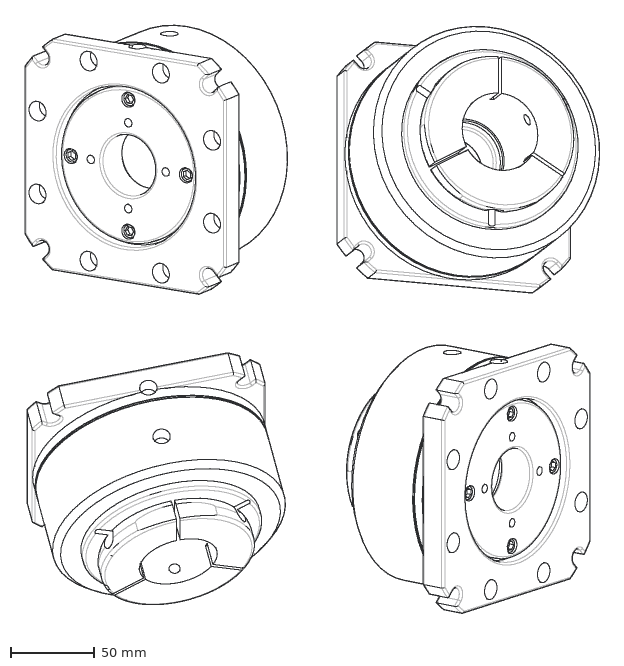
import cadquery as cq
import math


LENGTH = 94.5
EDGE_ROUND = 1.5

FLANGE_SIZE = 144.0
FLANGE_THICKNESS = 16.3
FLANGE_CORNER_RADIUS = 89.0
NOTCH_CENTRE_RADIUS = 84.1
NOTCH_RADIUS = 4.8
FLANGE_HOLE_CIRCLE_RADIUS = 67.5
FLANGE_HOLE_RADIUS = 6.0
FLANGE_HOLE_DEPTH = 11.5
FLANGE_HOLE_COUNT = 8

BODY_RADIUS = FLANGE_SIZE / 2
BODY_END = 73.5
BODY_CHAMFER = 4.0
GROOVE_CENTRE = 23.0
GROOVE_WIDTH = 1.2
GROOVE_DEPTH = 0.5
PILOT_RADIUS = 50.0
PILOT_DEPTH = 8.6
SIDE_HOLE_RADIUS = 5.2
SIDE_HOLE_DEPTH = 10.1
SIDE_HOLE_POSITIONS = (14.1, 49.7)
DRILL_POINT_ANGLE = 118.0

HUB_RADIUS = 48.4
HUB_FACE = 3.9
BORE_RADIUS = 19.0
BORE_END = 27.6
SHAFT_RECESS_RADIUS = 23.0
SHAFT_RECESS_END = 31.7
CLAMP_BORE_RADIUS = 24.0
DISC_RADIUS = 55.5
DISC_END = 79.2
DISC_ROUND = 1.7

FACE_HOLE_COUNT = 4
SCREW_CIRCLE_RADIUS = 41.2
SCREW_RECESS_RADIUS = 4.6
SCREW_HEAD_RADIUS = 4.0
SCREW_HEAD_DEPTH = 1.3
SCREW_GAP_DEPTH = 4.3
SOCKET_ACROSS_FLATS = 5.2
SOCKET_DEPTH = 2.9
DOWEL_CIRCLE_RADIUS = 26.8
DOWEL_RADIUS = 2.6
DOWEL_DEPTH = 8.6

COLLAR_RADIUS = 47.5
COLLAR_ROUND = 2.0
COLLAR_TAPER_START = 86.4
COLLAR_TAPER_RADIUS = 11.5
LOBE_RADIUS = 50.3
LOBE_HEIGHT = 47.1
SLOT_WIDTH = 2.2
SLOT_ANGLES = (90, 210, 330)
CLAMP_HOLE_Y = 84.2
CLAMP_HOLE_RADIUS = 3.3
CLAMP_COUNTERBORE_RADIUS = 5.5
CLAMP_SEAT_RADIUS = 38.9


def rod(radius, start, end, x=0.0, z=0.0):
    """Cylinder parallel to Y between two Y positions."""
    base = cq.Vector(x, start, z)
    return cq.Workplane(cq.Solid.makeCylinder(radius, end - start, base, cq.Vector(0, 1, 0)))


def polar(radius, angle):
    """X and Z of a point on a circle about the Y axis."""
    return radius * math.cos(math.radians(angle)), radius * math.sin(math.radians(angle))


def around_axis(shape, angle):
    """Turn a shape about Y, from +X towards +Z."""
    return shape.rotate((0, 0, 0), (0, 1, 0), -angle)


def corner_notch():
    """Slot that runs out along +X from a round inner end."""
    run_out = FLANGE_SIZE
    slot = cq.Workplane("XY").box(
        run_out, FLANGE_THICKNESS, 2 * NOTCH_RADIUS, centered=(False, False, True)
    ).translate((NOTCH_CENTRE_RADIUS, 0, 0))
    return slot.union(rod(NOTCH_RADIUS, 0, FLANGE_THICKNESS, NOTCH_CENTRE_RADIUS))


def make_flange():
    flange = cq.Workplane("XY").box(
        FLANGE_SIZE, FLANGE_THICKNESS, FLANGE_SIZE, centered=(True, False, True)
    )
    flange = flange.intersect(rod(FLANGE_CORNER_RADIUS, 0, FLANGE_THICKNESS))
    for angle in (45, 135, 225, 315):
        flange = flange.cut(around_axis(corner_notch(), angle))
    flange = flange.faces("<Y or >Y").edges().fillet(EDGE_ROUND)
    for i in range(FLANGE_HOLE_COUNT):
        x, z = polar(FLANGE_HOLE_CIRCLE_RADIUS, (i + 0.5) * 360 / FLANGE_HOLE_COUNT)
        flange = flange.cut(rod(FLANGE_HOLE_RADIUS, 0, FLANGE_HOLE_DEPTH, x, z))
    return flange


def make_body():
    body = rod(BODY_RADIUS, FLANGE_THICKNESS, BODY_END).faces(">Y").chamfer(BODY_CHAMFER)
    groove_start = GROOVE_CENTRE - GROOVE_WIDTH / 2
    groove_end = GROOVE_CENTRE + GROOVE_WIDTH / 2
    groove = rod(BODY_RADIUS, groove_start, groove_end)
    return body.cut(groove.cut(rod(BODY_RADIUS - GROOVE_DEPTH, groove_start, groove_end)))


def side_hole(y):
    """Drilled hole running down from the +Z side, with a pointed bottom."""
    point = SIDE_HOLE_RADIUS / math.tan(math.radians(DRILL_POINT_ANGLE / 2))
    floor = BODY_RADIUS - SIDE_HOLE_DEPTH
    profile = cq.Workplane("XZ").polyline([
        (0, BODY_RADIUS),
        (SIDE_HOLE_RADIUS, BODY_RADIUS),
        (SIDE_HOLE_RADIUS, floor),
        (0, floor - point),
    ]).close()
    return profile.revolve(360, (0, 0), (0, 1)).translate((0, y, 0))


def make_housing():
    """Flange and round body with a stepped bore that takes the hub."""
    housing = make_flange().union(make_body())
    housing = housing.cut(rod(PILOT_RADIUS, 0, PILOT_DEPTH))
    housing = housing.faces("<Y").edges(
        cq.selectors.BoxSelector(
            (-PILOT_RADIUS - 0.1, -0.1, -PILOT_RADIUS - 0.1),
            (PILOT_RADIUS + 0.1, 0.1, PILOT_RADIUS + 0.1), boundingbox=True)
    ).fillet(EDGE_ROUND)
    housing = housing.cut(rod(HUB_RADIUS, 0, BODY_END))
    for y in SIDE_HOLE_POSITIONS:
        housing = housing.cut(side_hole(y))
    return housing


def make_collar():
    taper_length = COLLAR_TAPER_START - DISC_END
    taper_angle = math.asin(taper_length / COLLAR_TAPER_RADIUS)

    def taper_point(angle):
        drop = COLLAR_TAPER_RADIUS * (1 - math.cos(angle))
        return COLLAR_RADIUS - drop, COLLAR_TAPER_START - COLLAR_TAPER_RADIUS * math.sin(angle)

    profile = (
        cq.Workplane("XY").moveTo(0, DISC_END).lineTo(*taper_point(taper_angle))
        .threePointArc(taper_point(taper_angle / 2), (COLLAR_RADIUS, COLLAR_TAPER_START))
        .lineTo(COLLAR_RADIUS, LENGTH).lineTo(0, LENGTH).close()
    )
    collar = profile.revolve(360, (0, 0), (0, 1)).faces(">Y").edges().fillet(COLLAR_ROUND)
    for angle in SLOT_ANGLES:
        x, z = polar(LOBE_HEIGHT - LOBE_RADIUS, angle)
        collar = collar.intersect(rod(LOBE_RADIUS, DISC_END, LENGTH, x, z))
    return collar


def collar_slot():
    """Radial slit along +X through the whole collar length."""
    return cq.Workplane("XY").box(
        2 * COLLAR_RADIUS, LENGTH - DISC_END, SLOT_WIDTH, centered=(False, False, True)
    ).translate((0, DISC_END, 0))


def clamp_hole():
    """Counterbored radial hole along +X."""
    hole = cq.Workplane("YZ").center(CLAMP_HOLE_Y, 0).circle(CLAMP_HOLE_RADIUS).extrude(COLLAR_RADIUS)
    counterbore = (
        cq.Workplane("YZ", origin=(CLAMP_SEAT_RADIUS, 0, 0)).center(CLAMP_HOLE_Y, 0)
        .circle(CLAMP_COUNTERBORE_RADIUS).extrude(COLLAR_RADIUS)
    )
    return hole.union(counterbore)


def screw_recess():
    """Ring gap and hexagon socket of a sunk screw head at +X."""
    head_face = HUB_FACE + SCREW_HEAD_DEPTH
    x = SCREW_CIRCLE_RADIUS
    recess = rod(SCREW_RECESS_RADIUS, HUB_FACE, HUB_FACE + SCREW_GAP_DEPTH, x)
    recess = recess.cut(rod(SCREW_HEAD_RADIUS, head_face, HUB_FACE + SCREW_GAP_DEPTH, x))
    socket = (
        cq.Workplane("XZ", origin=(x, head_face, 0))
        .polygon(6, SOCKET_ACROSS_FLATS, circumscribed=True).extrude(-SOCKET_DEPTH)
    )
    return recess.union(socket)


def make_hub():
    """Front plug, rear disc and clamp collar with a stepped bore."""
    plug = rod(HUB_RADIUS, HUB_FACE, BODY_END).faces("<Y").edges().fillet(EDGE_ROUND)
    disc = rod(DISC_RADIUS, BODY_END, DISC_END).faces(">Y").edges().fillet(DISC_ROUND)
    hub = plug.union(disc).union(make_collar())

    bore = rod(BORE_RADIUS, HUB_FACE, BORE_END)
    hub = hub.cut(bore).cut(rod(SHAFT_RECESS_RADIUS, BORE_END, SHAFT_RECESS_END))
    hub = hub.cut(rod(CLAMP_BORE_RADIUS, SHAFT_RECESS_END, LENGTH))
    hub = hub.edges(cq.selectors.BoxSelector(
        (-BORE_RADIUS - 0.1, HUB_FACE - 0.1, -BORE_RADIUS - 0.1),
        (BORE_RADIUS + 0.1, BORE_END + 0.1, BORE_RADIUS + 0.1), boundingbox=True)
    ).edges("%CIRCLE").fillet(EDGE_ROUND)

    for i in range(FACE_HOLE_COUNT):
        angle = i * 360 / FACE_HOLE_COUNT
        x, z = polar(DOWEL_CIRCLE_RADIUS, angle)
        hub = hub.cut(rod(DOWEL_RADIUS, HUB_FACE, HUB_FACE + DOWEL_DEPTH, x, z))
        hub = hub.cut(around_axis(screw_recess(), angle))

    for angle in SLOT_ANGLES:
        hub = hub.cut(around_axis(collar_slot(), angle))
        hub = hub.cut(around_axis(clamp_hole(), angle + 180))
    return hub


housing = make_housing()
hub = make_hub()
result = cq.Compound.makeCompound([housing.val(), hub.val()])